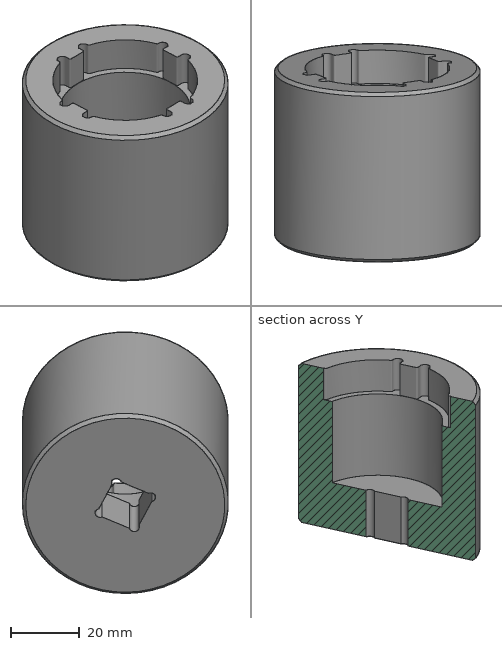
import cadquery as cq
import math

body_diameter = 60.0
body_height = 51.0
edge_chamfer = 1.0

bore_diameter = 38.1
floor_thickness = 15.0
mouth_diameter = 42.1
mouth_depth = 10.0

key_count = 4
key_flat_distance = 19.1
slot_width = 3.0
slot_offset = 4.5
slot_tip_distance = 22.3
key_fillet = 0.5

drive_side = 12.9
relief_diameter = 2.9
relief_offset = 5.5


def make_body():
    body = cq.Workplane("XY").circle(body_diameter / 2).extrude(body_height)
    return body.faces("<Z or >Z").chamfer(edge_chamfer)


def turn(shape, index):
    """Turn a shape about the Z axis to the position of one key."""
    return shape.rotate((0, 0, 0), (0, 0, 1), index * 360 / key_count)


def make_keyed_mouth():
    mouth_radius = mouth_diameter / 2
    mouth = cq.Workplane("XY").circle(mouth_radius).extrude(mouth_depth)

    key_width = 2 * slot_offset
    key = (
        cq.Workplane("XY")
        .center(0, key_flat_distance + mouth_radius / 2)
        .rect(key_width, mouth_radius)
        .extrude(mouth_depth)
    )

    slot_start_distance = bore_diameter / 2 - slot_width
    slot_length = slot_tip_distance - slot_start_distance
    slot_center_y = slot_tip_distance - slot_length / 2
    slots = (
        cq.Workplane("XY")
        .pushPoints([(side * slot_offset, slot_center_y) for side in (-1, 1)])
        .slot2D(slot_length, slot_width, 90)
        .extrude(mouth_depth)
    )
    for index in range(key_count):
        mouth = mouth.cut(turn(key, index))
        mouth = mouth.union(turn(slots, index))

    inner_slot_x = slot_offset - slot_width / 2
    outer_slot_x = slot_offset + slot_width / 2
    outer_corner_y = math.sqrt(mouth_radius**2 - outer_slot_x**2)
    corners = [(inner_slot_x, key_flat_distance), (outer_slot_x, outer_corner_y)]
    for index in range(key_count):
        for x, y in corners:
            for side in (-1, 1):
                corner = turn(cq.Vertex.makeVertex(side * x, y, mouth_depth / 2), index)
                nearest_edge = cq.selectors.NearestToPointSelector(corner.toTuple())
                mouth = mouth.edges(nearest_edge).fillet(key_fillet)
    return mouth.translate((0, 0, body_height - mouth_depth))


def make_bore():
    return (
        cq.Workplane("XY", origin=(0, 0, floor_thickness))
        .circle(bore_diameter / 2)
        .extrude(body_height - floor_thickness - mouth_depth)
    )


def make_drive_hole():
    square = cq.Workplane("XY").rect(drive_side, drive_side).extrude(floor_thickness)
    reliefs = (
        cq.Workplane("XY")
        .rect(2 * relief_offset, 2 * relief_offset, forConstruction=True)
        .vertices()
        .circle(relief_diameter / 2)
        .extrude(floor_thickness)
    )
    return square.union(reliefs)


result = make_body().cut(make_keyed_mouth()).cut(make_bore()).cut(make_drive_hole())